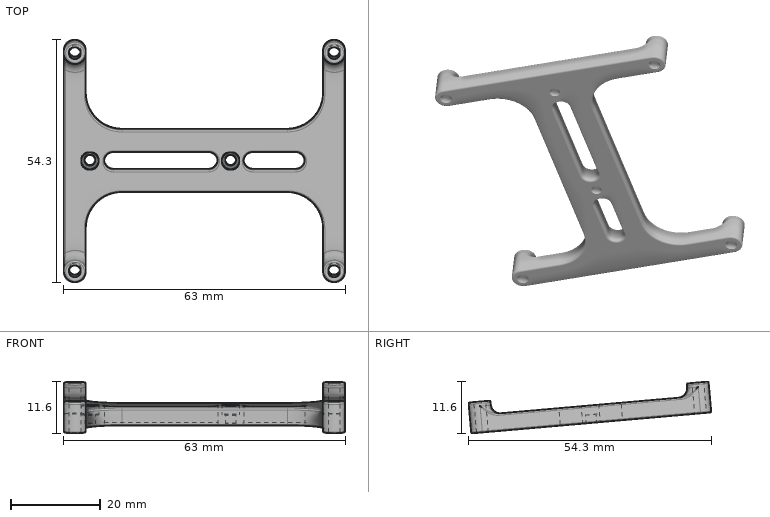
import cadquery as cq
import math

frame_length = 63.0
frame_width = 54.0
tilt_angle = 5.0

plate_thickness = 4.0
leg_width = 5.0
crossbar_width = 14.0
corner_radius = 8.0
edge_radius = 0.4

post_height = 7.0
post_radius = leg_width / 2
post_fillet = 2.0
post_bore = 2.65
post_x = frame_length / 2 - post_radius
post_y = frame_width / 2 - post_radius
post_centres = [(x, y) for x in (-post_x, post_x) for y in (-post_y, post_y)]

slot_width = 4.0
slot_row_half_length = 22.4
slot_gap = 5.85
screw_hole = 2.4
screw_head = 4.0
screw_head_depth = 2.0
centre_screw_x = 5.85
screw_spacing = 31.5

pick_margin = 0.05


def make_outline_prism():
    """H-shaped outline with rounded leg ends, as tall as the posts."""
    crossbar = cq.Workplane("XY").box(
        2 * post_x, crossbar_width, post_height, centered=(True, True, False)
    )
    legs = (
        cq.Workplane("XY")
        .pushPoints([(-post_x, 0), (post_x, 0)])
        .slot2D(frame_width, leg_width, 90)
        .extrude(post_height)
    )
    inner_x = post_x - post_radius
    inner_corners = cq.selectors.BoxSelector(
        (-inner_x - pick_margin, -crossbar_width, 0),
        (inner_x + pick_margin, crossbar_width, post_height),
    )
    return crossbar.union(legs).edges("|Z").edges(inner_corners).fillet(corner_radius)


def make_post_core():
    """Round post above the plate, with a concave fillet at its foot."""
    fillet_mid = post_fillet * (1 - math.sqrt(0.5))
    return (
        cq.Workplane("XZ")
        .moveTo(0, plate_thickness)
        .lineTo(post_radius + post_fillet, plate_thickness)
        .threePointArc(
            (post_radius + fillet_mid, plate_thickness + fillet_mid),
            (post_radius, plate_thickness + post_fillet),
        )
        .lineTo(post_radius, post_height)
        .lineTo(0, post_height)
        .close()
        .revolve(360, (0, 0), (0, 1))
    )


def make_clearance():
    """Space above the plate and between the post centres, less the posts."""
    space = cq.Workplane("XY", origin=(0, 0, plate_thickness)).box(
        2 * frame_length, 2 * post_y, post_height - plate_thickness, centered=(True, True, False)
    )
    for x, y in post_centres:
        space = space.cut(make_post_core().translate((x, y, 0)))
    return space


def round_edges(body):
    """Round the underside, the post tops, the slot rims and the plate's upper edges."""
    body = body.faces("<Z or >Z").edges().fillet(edge_radius)
    plate_level = cq.selectors.BoxSelector(
        (-frame_length, -frame_width, plate_thickness - pick_margin),
        (frame_length, frame_width, plate_thickness + pick_margin),
    )
    foot_radius = post_radius + post_fillet
    rim = [
        edge for edge in body.edges(plate_level).vals()
        if edge.geomType() == "LINE" or abs(edge.radius() - foot_radius) > pick_margin
    ]
    return body.newObject(rim).fillet(edge_radius)


def cut_post_bore(body, x, y):
    """Plain bore through the full height of a post."""
    bore = cq.Workplane("XY", origin=(x, y, 0)).circle(post_bore / 2).extrude(post_height)
    return body.cut(bore)


def cut_slot(body, x_start, x_end):
    """Slot through the plate between two end points on the crossbar's centre line."""
    slot = (
        cq.Workplane("XY")
        .center((x_start + x_end) / 2, 0)
        .slot2D(x_end - x_start, slot_width)
        .extrude(plate_thickness)
    )
    return body.cut(slot)


def cut_screw_hole(body, x):
    """Counterbored screw hole in the crossbar, with the head recess on top."""
    top = cq.Workplane("XY", origin=(x, 0, plate_thickness))
    body = body.cut(top.circle(screw_hole / 2).extrude(-plate_thickness))
    return body.cut(top.circle(screw_head / 2).extrude(-screw_head_depth))


body = make_outline_prism().cut(make_clearance())
body = cut_slot(body, -slot_row_half_length, centre_screw_x - slot_gap / 2)
body = cut_slot(body, centre_screw_x + slot_gap / 2, slot_row_half_length)
body = round_edges(body)

for x, y in post_centres:
    body = cut_post_bore(body, x, y)
for x in (centre_screw_x - screw_spacing, centre_screw_x):
    body = cut_screw_hole(body, x)

result = body.rotate((0, 0, 0), (1, 0, 0), tilt_angle)